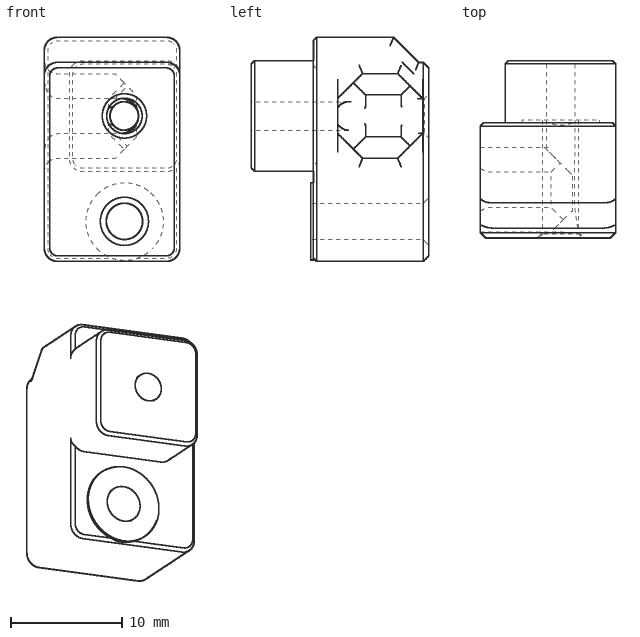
import cadquery as cq
import math

block_width = 12.21
block_depth = 10.4
block_height = 20.2
edge_radius = 1.21
front_chamfer = 0.5
back_chamfer = 0.3

bevel_drop = 2.26
bevel_land = 0.9

tab_size = 9.97
tab_length = 5.6
tab_bottom = 8.12

hole_x = block_width - tab_size / 2
upper_hole_z = tab_bottom + tab_size / 2
lower_hole_z = 3.61
lower_hole_diameter = 3.25
lower_mouth_diameter = 4.35
upper_entry_diameter = 3.2
upper_mouth_diameter = 4.0
upper_middle_diameter = 2.5
upper_back_diameter = 2.58
funnel_end_y = 2.9
step_start_y = 6.85
step_end_y = 7.45

pad_diameter = 6.99
pad_height = 0.25

pocket_front_y = 0.57
pocket_flats = 7.63
mouth_radius = 1.17
pocket_floor_x = 8.28
floor_front_y = 2.5
floor_length = 3.2
floor_height = 3.78
bore_rim_radius = 0.28
pocket_back_y = pocket_front_y + pocket_flats
pocket_center_y = pocket_front_y + pocket_flats / 2
total_depth = block_depth + tab_length


def y_cylinder(diameter, z, start, end):
    """Cylinder along Y at the common X of the holes."""
    origin = cq.Vector(hole_x, start, z)
    return cq.Workplane(obj=cq.Solid.makeCylinder(diameter / 2, end - start, origin, cq.Vector(0, 1, 0)))


def y_cone(start_diameter, end_diameter, z, start, end):
    """Cone along Y at the common X of the holes."""
    origin = cq.Vector(hole_x, start, z)
    cone = cq.Solid.makeCone(start_diameter / 2, end_diameter / 2, end - start, origin, cq.Vector(0, 1, 0))
    return cq.Workplane(obj=cone)


def main_block():
    bevel_z = block_height - bevel_drop
    block = (
        cq.Workplane("YZ")
        .polyline([
            (0, 0),
            (block_depth, 0),
            (block_depth, block_height),
            (bevel_land + bevel_drop, block_height),
            (bevel_land, bevel_z),
            (0, bevel_z),
        ])
        .close()
        .extrude(block_width)
    )
    block = block.faces("<X or >X").edges("not(<Y or >Y)").fillet(edge_radius)
    return block.faces("<Y").chamfer(front_chamfer).faces(">Y").chamfer(back_chamfer)


def back_tab():
    overlap = edge_radius
    return (
        cq.Workplane("XY")
        .box(tab_size, tab_length + overlap, tab_size, centered=False)
        .translate((block_width - tab_size, block_depth - overlap, tab_bottom))
        .edges("|Y")
        .fillet(edge_radius)
        .faces(">Y")
        .chamfer(back_chamfer)
    )


def lower_pad():
    root = back_chamfer
    return y_cylinder(pad_diameter, lower_hole_z, block_depth - root, block_depth + pad_height)


def octagon_prism(depth):
    """Regular octagon with flat sides up, down, front and back, from the left side inward."""
    corner_diameter = pocket_flats / math.cos(math.pi / 8)
    return (
        cq.Workplane("YZ", origin=(0, pocket_center_y, upper_hole_z))
        .transformed(rotate=(0, 0, 22.5))
        .polygon(8, corner_diameter)
        .extrude(depth)
    )


def upper_bore():
    """Funnel, straight middle, short taper and back bore; the funnel keeps widening ahead of the block."""
    funnel_rate = (upper_entry_diameter - upper_middle_diameter) / (funnel_end_y - pocket_front_y)
    funnel_start_y = -block_depth
    funnel_diameter = upper_middle_diameter + funnel_rate * (funnel_end_y - funnel_start_y)
    funnel = y_cone(funnel_diameter, upper_middle_diameter, upper_hole_z, funnel_start_y, funnel_end_y)
    middle = y_cylinder(upper_middle_diameter, upper_hole_z, funnel_end_y, step_start_y)
    step = y_cone(upper_middle_diameter, upper_back_diameter, upper_hole_z, step_start_y, step_end_y)
    back = y_cylinder(upper_back_diameter, upper_hole_z, step_end_y, 2 * total_depth)
    return funnel.union(middle).union(step).union(back)


def hip_profile(plane, low, high):
    """Prism whose floor edges at low and high spread at 45 degrees toward the left side."""
    reach = pocket_floor_x
    points = [(0, low - reach), (reach, low), (reach, high), (0, high + reach)]
    return cq.Workplane(plane).polyline(points).close().extrude(2 * block_height, both=True)


def joins_bore_to_hip(edge, body):
    """True where a flat hip face meets the round bore inside the hipped recess."""
    kinds = {face.geomType() for face in edge.ancestors(body, "Face")}
    inside = 0 < edge.Center().x < block_width and 0 < edge.Center().y < block_depth
    return inside and "PLANE" in kinds and len(kinds) == 2


def side_pocket():
    half_height = floor_height / 2
    plan = hip_profile("XY", floor_front_y, floor_front_y + floor_length)
    elevation = hip_profile("XZ", upper_hole_z - half_height, upper_hole_z + half_height)
    body = cq.Workplane("XY").box(block_width, 2 * block_depth, 2 * block_height, centered=(False, True, True))
    body = body.translate((0, pocket_center_y, upper_hole_z))
    recessed = body.cut(plan.intersect(elevation)).cut(upper_bore())
    rim = [edge for edge in recessed.edges().vals() if joins_bore_to_hip(edge, recessed.val())]
    recessed = recessed.newObject(rim).fillet(bore_rim_radius)
    depth = pocket_floor_x + upper_entry_diameter / 2
    return octagon_prism(depth).cut(recessed)


def pocket_mouth():
    mouth_height = pocket_flats + 2 * mouth_radius
    plate_size = 2 * mouth_height
    plate = (
        cq.Workplane("YZ", origin=(0, pocket_center_y, upper_hole_z))
        .rect(plate_size, plate_size)
        .extrude(2 * mouth_radius)
        .cut(octagon_prism(2 * mouth_radius))
    )
    lip_half = pocket_flats / 2 + mouth_radius
    lip = cq.selectors.BoxSelector(
        (-mouth_radius / 2, pocket_center_y - lip_half, upper_hole_z - lip_half),
        (mouth_radius / 2, pocket_center_y + lip_half, upper_hole_z + lip_half),
    )
    plate = plate.edges(lip).fillet(mouth_radius)
    return (
        cq.Workplane("YZ", origin=(0, pocket_center_y, upper_hole_z))
        .rect(pocket_flats, mouth_height)
        .extrude(2 * mouth_radius)
        .cut(plate)
    )


def lower_hole():
    mouth_depth = (lower_mouth_diameter - lower_hole_diameter) / 2
    bore = y_cylinder(lower_hole_diameter, lower_hole_z, 0, total_depth)
    return bore.union(y_cone(lower_mouth_diameter, lower_hole_diameter, lower_hole_z, 0, mouth_depth))


def upper_entry():
    mouth_depth = (upper_mouth_diameter - upper_entry_diameter) / 2
    bore = y_cylinder(upper_entry_diameter, upper_hole_z, 0, pocket_front_y)
    return bore.union(y_cone(upper_mouth_diameter, upper_entry_diameter, upper_hole_z, 0, mouth_depth))


def upper_exit():
    return upper_bore().intersect(
        cq.Workplane("XZ", origin=(hole_x, pocket_back_y, upper_hole_z))
        .circle(pocket_flats / 2)
        .extrude(-2 * total_depth)
    )


result = (
    main_block()
    .union(back_tab())
    .union(lower_pad())
    .cut(side_pocket())
    .cut(pocket_mouth())
    .cut(lower_hole())
    .cut(upper_entry())
    .cut(upper_exit())
)